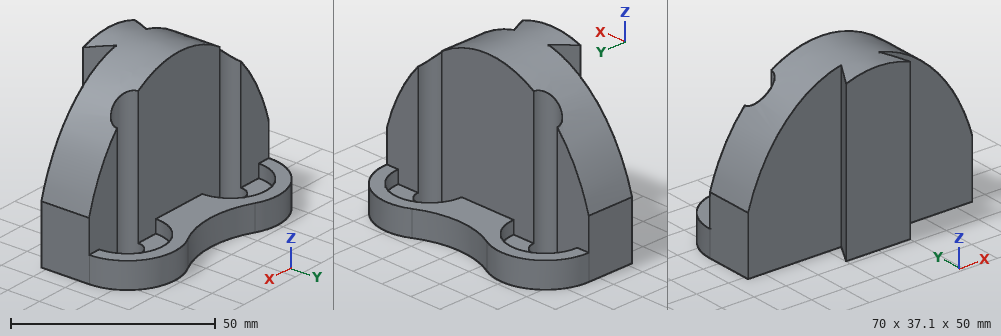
import cadquery as cq
import math

width = 70.0
height = 50.0
wall_thickness = 15.0
arch_half_span = 37.5
flange_thickness = 8.0
lobe_radius = 15.0
waist_depth = 10.0
hole_diameter = 8.2
recess_radius = 11.0
recess_depth = 4.0
rail_depth = 7.1
rail_face_width = 20.0
rail_flank_angle = 30.0

hole_x = width / 2 - lobe_radius
hole_places = [(-hole_x, 0), (hole_x, 0)]

lobe_rise = lobe_radius - waist_depth
waist_center_y = (hole_x**2 - lobe_rise**2) / (2 * lobe_rise)
center_distance = math.hypot(hole_x, waist_center_y)
tangent_x = hole_x * (1 - lobe_radius / center_distance)
tangent_y = lobe_radius * waist_center_y / center_distance


def make_wall_and_rail():
    """Wall with a dovetail rail in front, both trimmed by the elliptical arch."""
    front_y = -wall_thickness
    rail_y = front_y - rail_depth
    rail_half_face = rail_face_width / 2
    rail_half_neck = rail_half_face - rail_depth * math.tan(math.radians(rail_flank_angle))
    plan = (
        cq.Workplane("XY")
        .moveTo(-width / 2, 0)
        .lineTo(-width / 2, front_y)
        .lineTo(-rail_half_neck, front_y)
        .lineTo(-rail_half_face, rail_y)
        .lineTo(rail_half_face, rail_y)
        .lineTo(rail_half_neck, front_y)
        .lineTo(width / 2, front_y)
        .lineTo(width / 2, 0)
        .close()
        .extrude(height)
    )
    arch = cq.Workplane("XZ").ellipse(arch_half_span, height).extrude(wall_thickness + rail_depth)
    return plan.intersect(arch)


def make_flange():
    """Two-lobed foot behind the wall."""
    lobe_diagonal = lobe_radius * math.sqrt(0.5)
    return (
        cq.Workplane("XY")
        .moveTo(-width / 2, 0)
        .threePointArc((-hole_x - lobe_diagonal, lobe_diagonal), (-tangent_x, tangent_y))
        .threePointArc((0, waist_depth), (tangent_x, tangent_y))
        .threePointArc((hole_x + lobe_diagonal, lobe_diagonal), (width / 2, 0))
        .close()
        .extrude(flange_thickness)
    )


def make_recesses():
    """Round screw-head recesses in the top of the flange."""
    return (
        cq.Workplane("XY", origin=(0, 0, flange_thickness - recess_depth))
        .pushPoints(hole_places)
        .circle(recess_radius)
        .extrude(recess_depth)
    )


flange = make_flange().cut(make_recesses())
holes = cq.Workplane("XY").pushPoints(hole_places).circle(hole_diameter / 2).extrude(height)
result = make_wall_and_rail().union(flange).cut(holes)